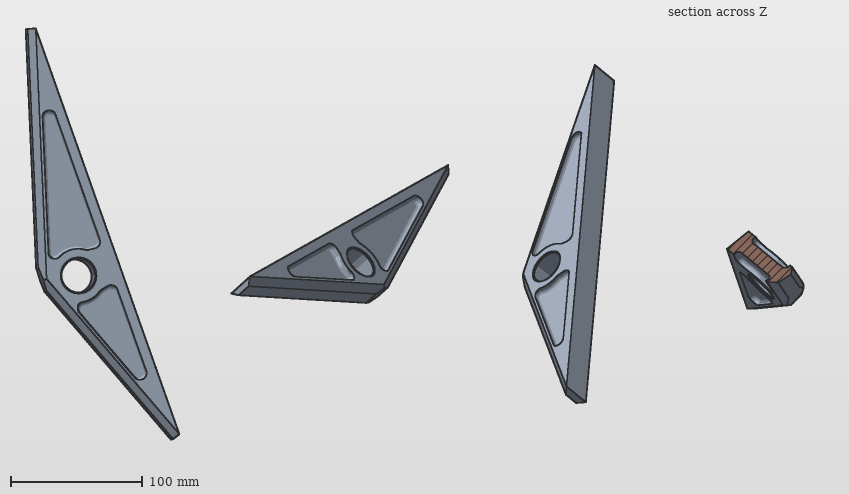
import cadquery as cq
import math

HIGH_TIP = cq.Vector(-62.5, 25.2, 150.0)
LOW_TIP = cq.Vector(74.7, -43.2, -140.0)
ELBOW = cq.Vector(-31.8, -42.5, -26.0)

THICKNESS = 22.8
CHAMFER = 5.5
BLUNT_HEIGHT = 58.8

HOLE_ALONG = 188.5
HOLE_HEIGHT = 32.5
HOLE_RADIUS = 13.0
HOLE_CHAMFER = 1.0

RIM_WIDTH = 7.8
POCKET_DEPTH = 5.0
POCKET_CORNER_RADIUS = 5.0
POCKET_FLOOR_RADIUS = 3.0
BOSS_RADIUS = 20.5
BOSS_BLEND_RADIUS = 4.5

UPPER_WEB_FOOT = HOLE_ALONG - 14.5
UPPER_WEB_HEAD = HOLE_ALONG - 19.0
LOWER_WEB_FOOT = HOLE_ALONG + 12.0
LOWER_WEB_HEAD = HOLE_ALONG + 25.2

long_edge = LOW_TIP - HIGH_TIP
inward = long_edge.cross(ELBOW - HIGH_TIP)
plate_frame = cq.Plane(origin=HIGH_TIP, xDir=long_edge, normal=inward)

elbow = plate_frame.toLocalCoords(ELBOW)
face_length = long_edge.Length
high_angle = math.atan2(elbow.y, elbow.x)
low_angle = math.atan2(elbow.y, face_length - elbow.x)

sharp_start = -CHAMFER / math.sin(high_angle)
sharp_end = face_length + CHAMFER / math.sin(low_angle)
cotangent_sum = 1 / math.tan(high_angle) + 1 / math.tan(low_angle)
sharp_height = (sharp_end - sharp_start) / cotangent_sum
sharp_elbow = (sharp_start + sharp_height / math.tan(high_angle), sharp_height)
sharp_triangle = [(sharp_start, 0), (sharp_end, 0), sharp_elbow]


def trimmed_outline():
    """Hexagon whose ends are square to the arms and whose elbow is cut flat."""
    upper_flat = (sharp_start + BLUNT_HEIGHT / math.tan(high_angle), BLUNT_HEIGHT)
    lower_flat = (sharp_end - BLUNT_HEIGHT / math.tan(low_angle), BLUNT_HEIGHT)
    high_end = (-CHAMFER * math.sin(high_angle), CHAMFER * math.cos(high_angle))
    low_end = (
        face_length + CHAMFER * math.sin(low_angle),
        CHAMFER * math.cos(low_angle),
    )
    return [(0, 0), high_end, upper_flat, lower_flat, low_end, (face_length, 0)]


def make_plate():
    plate = cq.Workplane().polyline(sharp_triangle).close().extrude(THICKNESS)
    plate = plate.faces("|Z").edges("not <Y").chamfer(CHAMFER)
    trim = cq.Workplane().polyline(trimmed_outline()).close().extrude(THICKNESS)
    return plate.intersect(trim)


def drill_hole(plate):
    """Through hole with both of its rims broken by a small chamfer."""
    bore = cq.Workplane().center(HOLE_ALONG, HOLE_HEIGHT).circle(HOLE_RADIUS).extrude(THICKNESS)
    return plate.cut(bore).edges("%CIRCLE").chamfer(HOLE_CHAMFER)


def beside_boss(edge):
    """True where a web side runs into the round boss."""
    middle = edge.Center()
    distance = math.hypot(middle.x - HOLE_ALONG, middle.y - HOLE_HEIGHT)
    return distance < BOSS_RADIUS + 0.03


def away_from_boss(edge):
    return not beside_boss(edge)


def make_pockets():
    """Both pockets of the front face: the inset triangle split by the web and the boss."""
    web_outline = [
        (UPPER_WEB_FOOT, 0),
        (LOWER_WEB_FOOT, 0),
        (LOWER_WEB_HEAD, sharp_height),
        (UPPER_WEB_HEAD, sharp_height),
    ]
    web = cq.Workplane().polyline(web_outline).close().extrude(POCKET_DEPTH)
    boss = cq.Workplane().center(HOLE_ALONG, HOLE_HEIGHT).circle(BOSS_RADIUS).extrude(POCKET_DEPTH)
    inset = cq.Workplane().polyline(sharp_triangle).close().offset2D(-RIM_WIDTH, "intersection")
    pockets = inset.extrude(POCKET_DEPTH).cut(web).cut(boss)
    pockets = pockets.edges("|Z").filter(away_from_boss).fillet(POCKET_CORNER_RADIUS)
    pockets = pockets.edges("|Z").filter(beside_boss).fillet(BOSS_BLEND_RADIUS)
    return pockets.faces(">Z").edges().fillet(POCKET_FLOOR_RADIUS)


front_pockets = make_pockets()
back_pockets = front_pockets.mirror("XY", (0, 0, THICKNESS / 2))
body = drill_hole(make_plate()).cut(front_pockets).cut(back_pockets)
result = body.val().moved(cq.Location(plate_frame))